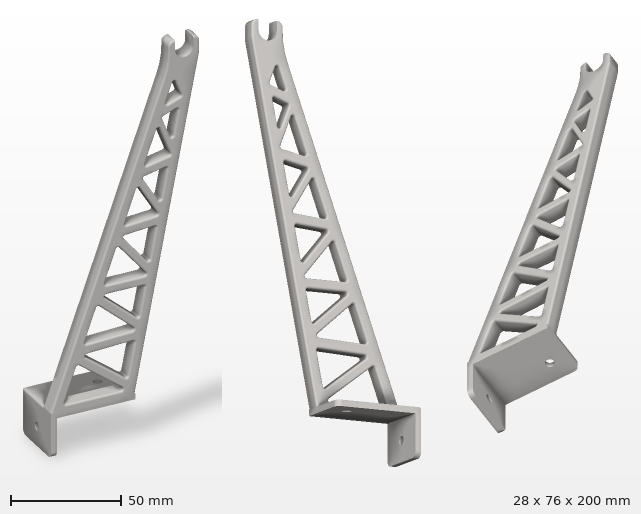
import cadquery as cq
import math

width = 28.0
depth = 76.0
height = 200.0

bracket_thickness = 3.0
plate_top = 23.2
plate_depth = 43.0
bracket_corner_radius = 3.0
hole_diameter = 4.5
flange_hole_z = 10.0
plate_hole_x = 10.0
plate_hole_from_back = 10.0

arm_thickness = 8.0
arm_left = width - arm_thickness
edge_radius = 1.0
foot_bottom_z = plate_top - 2 * edge_radius
fork_front_y = 60.0
fork_front_bottom_z = 188.0
fork_bend_radius = 40.0
fork_back_bottom_z = 191.5
fork_tip_radius = 3.0
slot_width = 9.2
slot_center_y = (fork_front_y + depth) / 2
slot_center_z = 195.0

rail_width = 5.2
pocket_radius = 1.0
struts = [
    (23.5, 23.5, 5.0),
    (28.8, 47.5, 4.5),
    (53.0, 51.8, 5.0),
    (58.2, 75.5, 4.5),
    (80.0, 80.0, 4.5),
    (85.5, 103.8, 4.2),
    (109.5, 108.0, 4.8),
    (115.0, 132.2, 3.5),
    (138.5, 135.8, 4.8),
    (145.2, 160.8, 2.8),
    (167.8, 164.5, 4.5),
    (173.8, 183.0, 2.8),
]


def offset_line(start, end, distance):
    """The line through two (y, z) points, moved sideways to the left of its direction."""
    dy, dz = end[0] - start[0], end[1] - start[1]
    length = math.hypot(dy, dz)
    shift_y, shift_z = -dz / length * distance, dy / length * distance
    return (start[0] + shift_y, start[1] + shift_z), (end[0] + shift_y, end[1] + shift_z)


def crossing(line_a, line_b):
    """The (y, z) point where two lines meet."""
    (ay, az), (a_end_y, a_end_z) = line_a
    (by, bz), (b_end_y, b_end_z) = line_b
    ady, adz = a_end_y - ay, a_end_z - az
    bdy, bdz = b_end_y - by, b_end_z - bz
    t = ((by - ay) * bdz - (bz - az) * bdy) / (ady * bdz - adz * bdy)
    return ay + t * ady, az + t * adz


def height_on(line, z):
    """The point of a line at height z."""
    return crossing(line, ((0, z), (depth, z)))


front_edge = ((0, plate_top), (fork_front_y, fork_front_bottom_z))
back_edge = ((plate_depth, plate_top), (depth, fork_back_bottom_z))
front_rail = offset_line(*front_edge, -rail_width)
back_rail = offset_line(*back_edge, rail_width)


def make_bracket():
    """The plate and flange, with their screw holes and rounded corners."""
    flange = cq.Workplane("XY").box(width, bracket_thickness, plate_top, centered=False)
    flange = flange.edges("|Y and <Z").fillet(bracket_corner_radius)
    plate = (
        cq.Workplane("XY", origin=(0, 0, plate_top - bracket_thickness))
        .box(width, plate_depth, bracket_thickness, centered=False)
        .edges("|Z and >Y and <X")
        .fillet(bracket_corner_radius)
    )
    flange_hole = (
        cq.Workplane("XZ", origin=(width / 2, 0, flange_hole_z))
        .circle(hole_diameter / 2)
        .extrude(-bracket_thickness)
    )
    plate_hole = (
        cq.Workplane("XY", origin=(plate_hole_x, plate_depth - plate_hole_from_back, 0))
        .circle(hole_diameter / 2)
        .extrude(plate_top)
    )
    bend_rounding = (
        cq.Workplane("YZ")
        .moveTo(0, plate_top)
        .lineTo(edge_radius, plate_top)
        .radiusArc((0, plate_top - edge_radius), -edge_radius)
        .close()
        .extrude(arm_left)
    )
    return flange.union(plate).cut(flange_hole).cut(plate_hole).cut(bend_rounding)


def make_arm_outline():
    """The solid arm, with its foot running on below the plate top."""
    blank = (
        cq.Workplane("YZ", origin=(arm_left, 0, 0))
        .polyline(
            [
                height_on(front_edge, foot_bottom_z),
                (fork_front_y, fork_front_bottom_z),
                (fork_front_y, height),
                (depth, height),
                (depth, fork_back_bottom_z),
                height_on(back_edge, foot_bottom_z),
            ]
        )
        .close()
        .extrude(arm_thickness)
    )
    fork_bend = cq.selectors.NearestToPointSelector((width, fork_front_y, fork_front_bottom_z))
    blank = blank.edges("|X").edges(fork_bend).fillet(fork_bend_radius)
    return blank.faces(">Z").edges("|X").fillet(fork_tip_radius)


def make_pockets():
    """Rounded triangles between neighbouring struts, on the front and the back rail in turn."""
    lower_edges = []
    upper_edges = []
    for back_z, front_z, strut_width in struts:
        center = (height_on(front_rail, front_z), height_on(back_rail, back_z))
        lower_edge = offset_line(*center, -strut_width / 2)
        upper_edge = offset_line(*center, strut_width / 2)
        lower_edges.append(lower_edge)
        upper_edges.append(upper_edge)

    pockets = cq.Workplane("YZ")
    for index in range(len(struts) - 1):
        floor = upper_edges[index]
        roof = lower_edges[index + 1]
        rail = front_rail if index % 2 == 0 else back_rail
        pocket = (
            cq.Workplane("YZ", origin=(arm_left, 0, 0))
            .polyline([crossing(floor, rail), crossing(rail, roof), crossing(roof, floor)])
            .close()
            .extrude(arm_thickness)
            .edges("|X")
            .fillet(pocket_radius)
        )
        pockets = pockets.add(pocket)
    return pockets.combine()


def make_slot():
    """The open slot of the fork: a round bottom and a straight mouth."""
    slot = (
        cq.Workplane("YZ", origin=(arm_left, slot_center_y, slot_center_z))
        .circle(slot_width / 2)
        .extrude(arm_thickness)
    )
    slot_length = height - slot_center_z
    mouth = (
        cq.Workplane("XY", origin=(arm_left, slot_center_y, slot_center_z))
        .box(arm_thickness, slot_width, slot_length, centered=(False, True, False))
    )
    return slot.union(mouth)


def make_arm():
    """The lattice arm with its side edges rounded, trimmed level with the plate top."""
    arm = make_arm_outline().cut(make_pockets())
    arm = arm.faces("<X or >X").edges().fillet(edge_radius)
    foot_trim = cq.Workplane("XY").box(width, 2 * depth, plate_top, centered=(False, True, False))
    return arm.cut(make_slot()).cut(foot_trim)


result = make_bracket().union(make_arm())